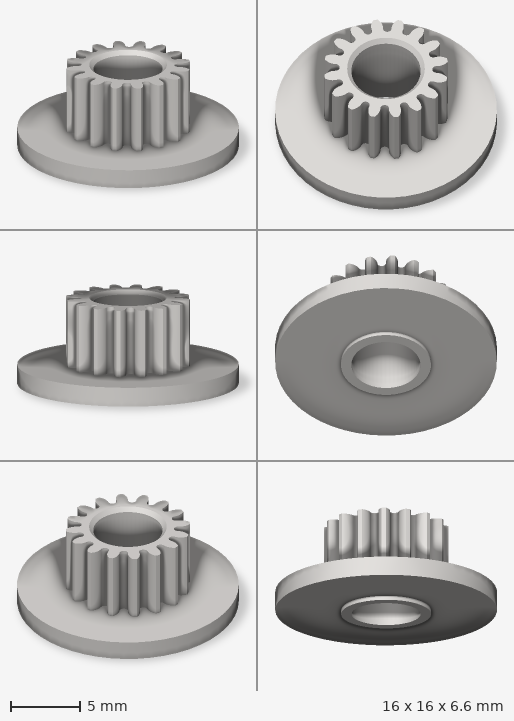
import cadquery as cq
import math

flange_diameter = 16.0
flange_thickness = 1.4
boss_diameter = 6.5
boss_height = 0.3

tooth_count = 16
tip_radius = 4.5
root_radius = 3.35
pinion_height = 4.9

root_fillet_radius = 0.3
flank_mid_half_gap = 0.4
flank_mid_distance = 4.05
tip_half_gap = 0.72

bore_diameter = 5.0
bore_chamfer = 0.3

flange_top = boss_height + flange_thickness
total_height = flange_top + pinion_height
gap_pitch_angle = 360 / tooth_count


def cylinder(diameter, height, base_z):
    return cq.Workplane("XY").workplane(offset=base_z).circle(diameter / 2).extrude(height)


def tooth_gap():
    """Round-bottomed gap between two teeth, centred on the +Y axis."""
    fillet_centre_distance = root_radius + root_fillet_radius
    tip_distance = math.sqrt(tip_radius**2 - tip_half_gap**2)
    beyond_tips = tip_radius + root_fillet_radius
    return (
        cq.Workplane("XY")
        .workplane(offset=flange_top)
        .moveTo(-tip_half_gap, tip_distance)
        .threePointArc(
            (-flank_mid_half_gap, flank_mid_distance),
            (-root_fillet_radius, fillet_centre_distance),
        )
        .threePointArc((0, root_radius), (root_fillet_radius, fillet_centre_distance))
        .threePointArc((flank_mid_half_gap, flank_mid_distance), (tip_half_gap, tip_distance))
        .lineTo(tip_half_gap, beyond_tips)
        .lineTo(-tip_half_gap, beyond_tips)
        .close()
        .extrude(pinion_height)
    )


def pinion():
    body = cylinder(2 * tip_radius, pinion_height, flange_top)
    gap = tooth_gap()
    for index in range(tooth_count):
        body = body.cut(gap.rotate((0, 0, 0), (0, 0, 1), index * gap_pitch_angle))
    return body


def chamfered_bore():
    chamfer = (
        cq.Workplane("XY")
        .workplane(offset=total_height)
        .circle(bore_diameter / 2 + bore_chamfer)
        .extrude(-bore_chamfer, taper=45)
    )
    return cylinder(bore_diameter, total_height, 0).union(chamfer)


boss = cylinder(boss_diameter, boss_height, 0)
flange = cylinder(flange_diameter, flange_thickness, boss_height)
result = boss.union(flange).union(pinion()).cut(chamfered_bore())